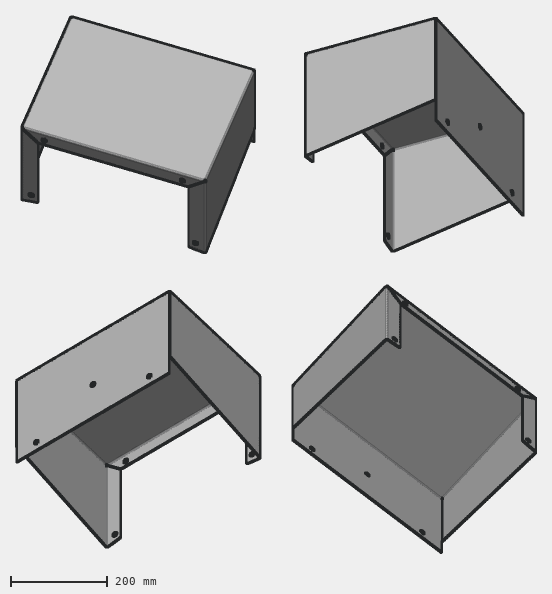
import cadquery as cq
import math

width = 406.5
depth = 305.0
height = 254.0
half_width = width / 2
half_depth = depth / 2

sheet = 2.5
bend_radius = 4.0
inner_radius = bend_radius - sheet

flange = 38.0
mitre_gap = 2.0
flange_corner_radius = 5.0

side_rear_lift = 51.0
slope = side_rear_lift / (depth - bend_radius - sheet)

hole_diameter = 11.0
top_hole_x = 152.0
top_hole_z = height - 22.5
flange_hole_x = 180.5
back_hole_x = 148.7
lower_hole_z = 25.5
center_hole_z = 101.5

drill_length = 40.5

front_bend_end = -half_depth + bend_radius
back_inner_face = half_depth - sheet
roof_half_width = half_width - sheet
bend_start_x = half_width - bend_radius
bend_start_z = height - bend_radius
mitre_shift = mitre_gap / math.sqrt(2)


def box_between(low, high):
    """Box given by two opposite corners."""
    size = [b - a for a, b in zip(low, high)]
    return cq.Workplane("XY").box(*size, centered=False).translate(tuple(low))


def make_side_walls_and_roof():
    """Roof bent down into both side walls, with sloping lower edges."""
    length = back_inner_face - front_bend_end
    outer = box_between((-half_width, front_bend_end, 0), (half_width, back_inner_face, height))
    outer = outer.edges("|Y and >Z").fillet(bend_radius)
    inner = box_between(
        (-roof_half_width, front_bend_end, 0),
        (roof_half_width, back_inner_face, height - sheet),
    )
    inner = inner.edges("|Y and >Z").fillet(inner_radius)
    below_slope = (
        cq.Workplane("YZ")
        .moveTo(front_bend_end, 0)
        .lineTo(back_inner_face, slope * length)
        .lineTo(back_inner_face, 0)
        .close()
        .extrude(half_width, both=True)
    )
    roof_end = box_between(
        (-half_width, half_depth - bend_radius, bend_start_z),
        (half_width, half_depth, height),
    )
    return outer.cut(inner).cut(below_slope).cut(roof_end)


def make_roof_with_front_and_back():
    """Roof bent down into the top front flange and the full back wall."""
    outer = box_between((-roof_half_width, -half_depth, 0), (roof_half_width, half_depth, height))
    outer = outer.edges("|X and >Z").fillet(bend_radius)
    inner = box_between(
        (-roof_half_width, -half_depth + sheet, 0),
        (roof_half_width, back_inner_face, height - sheet),
    )
    inner = inner.edges("|X and >Z").fillet(inner_radius)
    below_flange = box_between(
        (-half_width, -half_depth, 0),
        (half_width, front_bend_end, height - flange),
    )
    panel = outer.cut(inner).cut(below_flange)

    for side in (-1, 1):
        roof_edge = box_between(
            (bend_start_x, front_bend_end, bend_start_z),
            (half_width, half_depth - bend_radius, height),
        )
        mitre = (
            cq.Workplane("XZ", origin=(0, front_bend_end, 0))
            .moveTo(half_width, bend_start_z)
            .lineTo(bend_start_x - mitre_shift, bend_start_z)
            .lineTo(half_width - flange - mitre_shift, height - flange)
            .lineTo(half_width, height - flange)
            .close()
            .extrude(bend_radius)
        )
        cutter = roof_edge.union(mitre)
        if side < 0:
            cutter = cutter.mirror("YZ")
        panel = panel.cut(cutter)
    return panel


def make_right_front_flange():
    """Side wall bent inward at the front, mitred at the top and sloping at the bottom."""
    flange_x = half_width - flange
    bend = (
        cq.Workplane("XY")
        .moveTo(half_width, front_bend_end)
        .radiusArc((bend_start_x, -half_depth), bend_radius)
        .lineTo(flange_x, -half_depth)
        .lineTo(flange_x, -half_depth + sheet)
        .lineTo(bend_start_x, -half_depth + sheet)
        .radiusArc((roof_half_width, front_bend_end), -inner_radius)
        .close()
        .extrude(height)
    )
    outline = (
        cq.Workplane("XZ", origin=(0, front_bend_end, 0))
        .moveTo(half_width, 0)
        .lineTo(bend_start_x, 0)
        .lineTo(flange_x, slope * (bend_start_x - flange_x))
        .lineTo(flange_x, height - flange - mitre_shift)
        .lineTo(bend_start_x, bend_start_z - mitre_shift)
        .lineTo(half_width, bend_start_z - mitre_shift)
        .close()
        .extrude(bend_radius)
    )
    lower_corner = cq.selectors.NearestToPointSelector((flange_x, front_bend_end, 0))
    outline = outline.edges("|Y").edges(lower_corner).fillet(flange_corner_radius)
    return bend.intersect(outline)


def make_holes(centers, start_y):
    """Drills along +Y, each long enough to pass one wall."""
    return (
        cq.Workplane("XZ", origin=(0, start_y, 0))
        .pushPoints(centers)
        .circle(hole_diameter / 2)
        .extrude(-drill_length)
    )


right_flange = make_right_front_flange()
cover = make_side_walls_and_roof().union(make_roof_with_front_and_back())
cover = cover.union(right_flange).union(right_flange.mirror("YZ"))

front_centers = []
back_centers = [(0, center_hole_z)]
for side in (-1, 1):
    front_centers.append((side * top_hole_x, top_hole_z))
    front_centers.append((side * flange_hole_x, lower_hole_z))
    back_centers.append((side * back_hole_x, lower_hole_z))

cover = cover.cut(make_holes(front_centers, -half_depth - drill_length / 2))
result = cover.cut(make_holes(back_centers, half_depth - drill_length / 2))